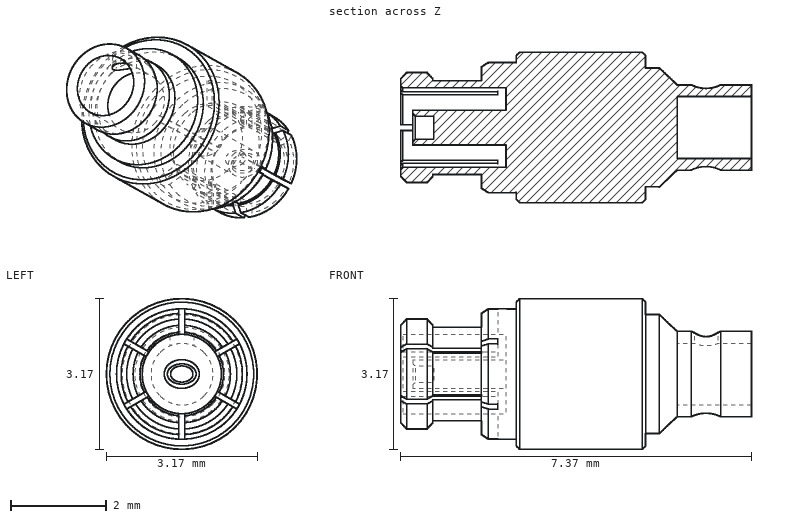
import cadquery as cq
total_length = 7.37
head_front_chamfer_end = 0.125
head_rear_chamfer_start = 0.55
head_end = 0.68
collar_start = 1.695
collar_chamfer_end = 1.84
body_start = 2.425
body_end = 5.145
shoulder_end = 5.43
cone_end = 5.81

head_radius = 1.16
head_edge_radius = 1.025
shaft_radius = 0.99
collar_radius = 1.37
collar_edge_radius = 1.275
body_radius = 1.585
body_chamfer = 0.075
shoulder_radius = 1.25
tail_radius = 0.9

waist_center = 6.41
waist_half_length = 0.31
waist_radius = 0.825
cross_hole_diameter = 0.5

bore_radius = 0.83
bore_depth = 2.21
mouth_chamfer = 0.045

slot_count = 6
slot_width = 0.12
slot_depth = 2.035

pin_front = 0.25
pin_half_y = 0.37
pin_half_z = 0.3
pin_mouth_half_y = 0.3
pin_mouth_half_z = 0.215
pin_hole_half_y = 0.235
pin_hole_half_z = 0.17
pin_hole_taper = 0.06
pin_hole_depth = 0.44

tail_bore_radius = 0.65
tail_bore_start = cone_end


def disc_at(x):
    """Workplane normal to the axis, facing +X, whose local axes are Y and Z."""
    return cq.Workplane("YZ", origin=(x, 0, 0))


def make_outer_body():
    """Turned outer shape, revolved about X."""
    profile = (
        cq.Workplane("XY")
        .moveTo(0, 0)
        .lineTo(0, head_edge_radius)
        .lineTo(head_front_chamfer_end, head_radius)
        .lineTo(head_rear_chamfer_start, head_radius)
        .lineTo(head_end, head_edge_radius)
        .lineTo(head_end, shaft_radius)
        .lineTo(collar_start, shaft_radius)
        .lineTo(collar_start, collar_edge_radius)
        .lineTo(collar_chamfer_end, collar_radius)
        .lineTo(body_start, collar_radius)
        .lineTo(body_start, body_radius - body_chamfer)
        .lineTo(body_start + body_chamfer, body_radius)
        .lineTo(body_end - body_chamfer, body_radius)
        .lineTo(body_end, body_radius - body_chamfer)
        .lineTo(body_end, shoulder_radius)
        .lineTo(shoulder_end, shoulder_radius)
        .lineTo(cone_end, tail_radius)
        .lineTo(waist_center - waist_half_length, tail_radius)
        .threePointArc(
            (waist_center, waist_radius),
            (waist_center + waist_half_length, tail_radius),
        )
        .lineTo(total_length, tail_radius)
        .lineTo(total_length, 0)
        .close()
    )
    return profile.revolve(360, (0, 0, 0), (1, 0, 0))


def make_socket():
    """Volume removed by the bore and its lead-in chamfer."""
    profile = (
        cq.Workplane("XY")
        .moveTo(0, 0)
        .lineTo(0, bore_radius + mouth_chamfer)
        .lineTo(mouth_chamfer, bore_radius)
        .lineTo(bore_depth, bore_radius)
        .lineTo(bore_depth, 0)
        .close()
    )
    return profile.revolve(360, (0, 0, 0), (1, 0, 0))


def cut_finger_slots(part):
    """Cut radial slots, evenly spaced about the axis, one of them pointing up."""
    slot = cq.Workplane("XY").box(slot_depth, slot_width, body_radius, centered=(False, True, False))
    for index in range(slot_count):
        part = part.cut(slot.rotate((0, 0, 0), (1, 0, 0), index * 360 / slot_count))
    return part


def make_pin():
    """Elliptical contact pin with a blind hole that widens at its front end."""
    pin = disc_at(pin_front).ellipse(pin_half_y, pin_half_z).extrude(bore_depth - pin_front)
    hole = disc_at(pin_front).ellipse(pin_hole_half_y, pin_hole_half_z).extrude(pin_hole_depth)
    lead_in = (
        disc_at(pin_front)
        .ellipse(pin_mouth_half_y, pin_mouth_half_z)
        .workplane(offset=pin_hole_taper)
        .ellipse(pin_hole_half_y, pin_hole_half_z)
        .loft()
    )
    return pin.cut(hole).cut(lead_in)


def make_tail_bore():
    """Round bore running from inside the tail out through its end."""
    return disc_at(tail_bore_start).circle(tail_bore_radius).extrude(total_length - tail_bore_start)


def make_cross_hole():
    """Round hole drilled from the top of the waist into the tail bore."""
    return (
        cq.Workplane("XY", origin=(waist_center, 0, 0))
        .circle(cross_hole_diameter / 2)
        .extrude(tail_radius)
    )


shell = cut_finger_slots(make_outer_body().cut(make_socket()))
result = shell.union(make_pin()).cut(make_tail_bore()).cut(make_cross_hole())